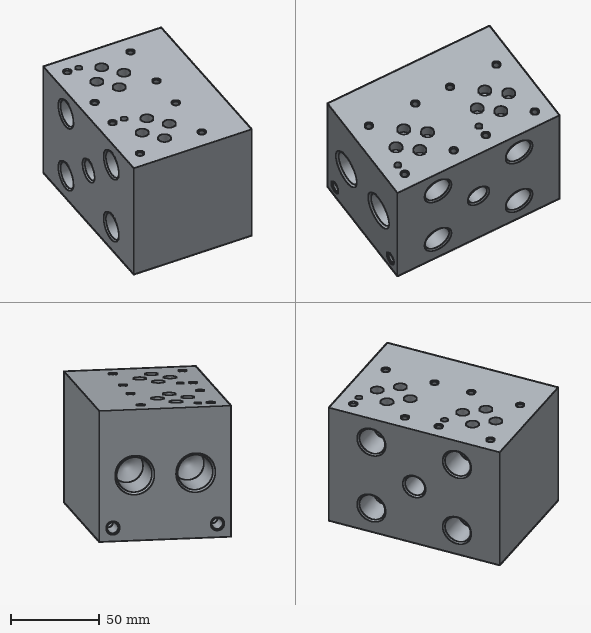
import cadquery as cq
import math

LENGTH = 108.0
SIDE = 76.2

DRILL_TIP_ANGLE = 118.0
SINK_ANGLE = 90.0

STATION_X = (LENGTH / 4, 3 * LENGTH / 4)
VALVE_SHIFT_X = 0.1

WORK_PORT = dict(mouth=18.0, throat=16.1, bottom=15.0, depth=17.3)
GAUGE_PORT = dict(mouth=14.5, throat=12.4, bottom=11.4, depth=17.3)
SUPPLY_PORT = dict(mouth=22.8, throat=20.3, bottom=18.6, depth=23.7)

WORK_PORT_OFFSET_B = 22.3
WORK_PORT_OFFSET_A = 22.0
SUPPLY_PORT_Y = (20.5, 55.7)

SUPPLY_BOLT = dict(mouth=7.9, throat=6.4, bottom=6.4, depth=16.2)
SUPPLY_BOLT_EDGE = 7.9
VALVE_BOLT = dict(mouth=5.0, throat=3.7, bottom=3.7, depth=13.0)

VALVE_PORT_DIAMETER = 7.5
VALVE_PORT_DEPTH = 7.0
VALVE_PORT_Y = 28.7
VALVE_PORT_SPREAD_X = 10.5
VALVE_PORT_SPREAD_Y = 8.7
PIN_DIAMETER = 4.0
PIN_DEPTH = 4.3
PIN_Y = 17.2
REAR_BOLT_SPREAD_X = 15.4
REAR_BOLT_Y = 50.1
FRONT_BOLT_SPREAD_X = 16.3
FRONT_BOLT_Y = 9.7

INTO_FRONT = cq.Vector(0, 1, 0)
INTO_LEFT = cq.Vector(1, 0, 0)
INTO_TOP = cq.Vector(0, 0, -1)


def drilled_hole(point, direction, mouth, throat, bottom, depth):
    """Countersunk hole, tapered from throat to bottom, ending in a drill tip."""
    sink_depth = (mouth - throat) / 2 / math.tan(math.radians(SINK_ANGLE / 2))
    tip_depth = bottom / 2 / math.tan(math.radians(DRILL_TIP_ANGLE / 2))
    profile = [
        (0, 0),
        (mouth / 2, 0),
        (throat / 2, sink_depth),
        (bottom / 2, depth),
        (0, depth + tip_depth),
    ]
    hole = cq.Workplane("XZ").polyline(profile).close().revolve(360, (0, 0), (0, 1))
    return hole.val().moved(cq.Plane(point, normal=direction).location)


def flat_hole(point, direction, diameter, depth):
    """Plain cylindrical hole with a flat bottom."""
    return cq.Solid.makeCylinder(diameter / 2, depth, cq.Vector(*point), direction)


def front_ports():
    """A and B ports of both stations, and the gauge port in the middle."""
    heights = (SIDE / 2 - WORK_PORT_OFFSET_A, SIDE / 2 + WORK_PORT_OFFSET_B)
    holes = [drilled_hole((x, 0, z), INTO_FRONT, **WORK_PORT) for x in STATION_X for z in heights]
    holes.append(drilled_hole((LENGTH / 2, 0, SIDE / 2), INTO_FRONT, **GAUGE_PORT))
    return holes


def supply_face_holes():
    """P and T ports, and two bolt holes in the lower corners."""
    holes = [drilled_hole((0, y, SIDE / 2), INTO_LEFT, **SUPPLY_PORT) for y in SUPPLY_PORT_Y]
    for y in (SUPPLY_BOLT_EDGE, SIDE - SUPPLY_BOLT_EDGE):
        holes.append(drilled_hole((0, y, SUPPLY_BOLT_EDGE), INTO_LEFT, **SUPPLY_BOLT))
    return holes


def valve_station(x):
    """Four flow ports, one locating pin hole and four bolt holes of one valve."""
    flow_ports = (
        (x, VALVE_PORT_Y + VALVE_PORT_SPREAD_Y),
        (x, VALVE_PORT_Y - VALVE_PORT_SPREAD_Y),
        (x + VALVE_PORT_SPREAD_X, VALVE_PORT_Y),
        (x - VALVE_PORT_SPREAD_X, VALVE_PORT_Y),
    )
    holes = []
    for px, py in flow_ports:
        holes.append(flat_hole((px, py, SIDE), INTO_TOP, VALVE_PORT_DIAMETER, VALVE_PORT_DEPTH))
    pin = (x - FRONT_BOLT_SPREAD_X, PIN_Y, SIDE)
    holes.append(flat_hole(pin, INTO_TOP, PIN_DIAMETER, PIN_DEPTH))
    for side in (-1, 1):
        rear = (x + side * REAR_BOLT_SPREAD_X, REAR_BOLT_Y, SIDE)
        front = (x + side * FRONT_BOLT_SPREAD_X, FRONT_BOLT_Y, SIDE)
        holes.append(drilled_hole(rear, INTO_TOP, **VALVE_BOLT))
        holes.append(drilled_hole(front, INTO_TOP, **VALVE_BOLT))
    return holes


block = cq.Workplane("XY").box(LENGTH, SIDE, SIDE, centered=False)
cutters = front_ports() + supply_face_holes()
for station_x in STATION_X:
    cutters += valve_station(station_x + VALVE_SHIFT_X)
result = cq.Workplane(block.val().cut(*cutters))